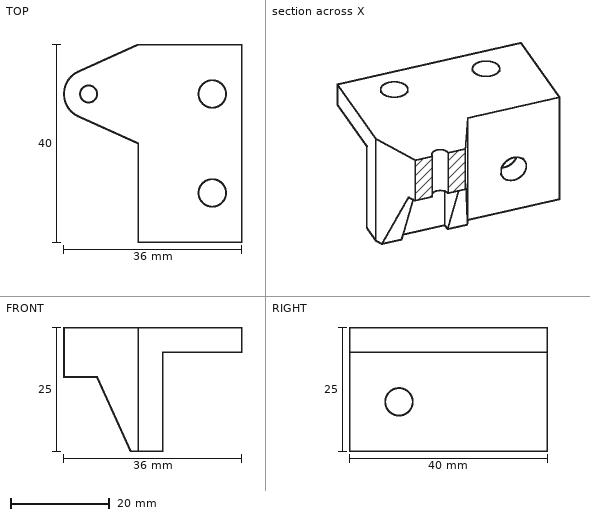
import cadquery as cq
import math

length_x = 36.0
length_y = 40.0
height = 25.0
thickness = 5.0
wall_front_x = 15.0
mount_hole_diameter = 5.5
hole_edge_distance = 10.0

ear_radius = 5.0
ear_half_width = 10.0
ear_thickness = 10.0
ear_hole_diameter = 3.4
ear_center_x = ear_radius
ear_center_y = length_y - ear_half_width
ear_bottom_z = height - ear_thickness

rib_gap = 10.0
rib_top_x = 6.7
rib_bottom_x = 13.5


def make_angle_bracket():
    """Top plate and vertical wall, joined as an L in the XZ plane."""
    plate = cq.Workplane("XY").box(length_x - wall_front_x, length_y, thickness, centered=False)
    plate = plate.translate((wall_front_x, 0, height - thickness))
    wall = cq.Workplane("XY").box(thickness, length_y, height, centered=False)
    return plate.union(wall.translate((wall_front_x, 0, 0)))


def make_ear_prism(bottom_z):
    """Ear outline, with sides tangent to the nose, from bottom_z up to the top."""
    reach = wall_front_x - ear_center_x
    corner_distance = math.hypot(reach, ear_half_width)
    tangent_angle = math.atan2(ear_half_width, reach) + math.acos(ear_radius / corner_distance)
    tangent_x = ear_center_x + ear_radius * math.cos(tangent_angle)
    tangent_offset = ear_radius * math.sin(tangent_angle)
    return (
        cq.Workplane("XY", origin=(0, 0, bottom_z))
        .moveTo(wall_front_x, ear_center_y - ear_half_width)
        .lineTo(tangent_x, ear_center_y - tangent_offset)
        .threePointArc((0, ear_center_y), (tangent_x, ear_center_y + tangent_offset))
        .lineTo(wall_front_x, ear_center_y + ear_half_width)
        .close()
        .extrude(height - bottom_z)
    )


def make_ribs():
    """Two ribs that follow the ear sides, with a sloped front and an open gap between."""
    side_profile = (
        cq.Workplane("XZ", origin=(0, length_y, 0))
        .polyline([
            (rib_bottom_x, 0),
            (wall_front_x, 0),
            (wall_front_x, ear_bottom_z),
            (rib_top_x, ear_bottom_z),
        ])
        .close()
        .extrude(length_y)
    )
    gap = cq.Workplane("XY").box(wall_front_x, rib_gap, ear_bottom_z, centered=False)
    gap = gap.translate((0, ear_center_y - rib_gap / 2, 0))
    return make_ear_prism(0).intersect(side_profile).cut(gap)


def vertical_hole(x, y, diameter):
    return cq.Workplane("XY").center(x, y).circle(diameter / 2).extrude(height)


body = make_angle_bracket().union(make_ear_prism(ear_bottom_z)).union(make_ribs())

body = body.cut(vertical_hole(ear_center_x, ear_center_y, ear_hole_diameter))

plate_hole_x = 30.0
for hole_y in (hole_edge_distance, length_y - hole_edge_distance):
    body = body.cut(vertical_hole(plate_hole_x, hole_y, mount_hole_diameter))

wall_hole = (
    cq.Workplane("YZ")
    .center(hole_edge_distance, hole_edge_distance)
    .circle(mount_hole_diameter / 2)
    .extrude(length_x)
)
result = body.cut(wall_hole)